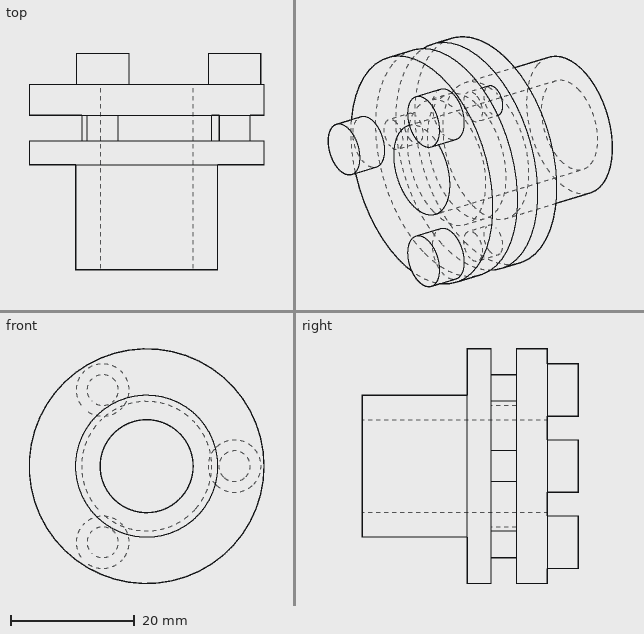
import cadquery as cq

flange_diameter = 38.0
hub_diameter = 23.0
neck_diameter = 21.0
bore_diameter = 15.0

hub_length = 17.0
front_flange_thickness = 3.88
gap_width = 4.1
rear_flange_thickness = 5.0
head_height = 5.0

screw_count = 3
screw_circle_radius = 14.2
shank_diameter = 5.0
head_diameter = 8.5

front_flange_start = hub_length
gap_start = front_flange_start + front_flange_thickness
rear_flange_start = gap_start + gap_width
head_start = rear_flange_start + rear_flange_thickness


def cylinder(diameter, start, length):
    """Cylinder on the Y axis, running from start towards +Y."""
    return (
        cq.Workplane("XZ", origin=(0, start, 0))
        .circle(diameter / 2)
        .extrude(-length)
    )


def screws(diameter, start, length):
    """Ring of cylinders on the screw circle, the first one on +X."""
    return (
        cq.Workplane("XZ", origin=(0, start, 0))
        .polarArray(screw_circle_radius, 0, 360, screw_count)
        .circle(diameter / 2)
        .extrude(-length)
    )


body = (
    cylinder(hub_diameter, 0, hub_length)
    .union(cylinder(flange_diameter, front_flange_start, front_flange_thickness))
    .union(cylinder(neck_diameter, gap_start, gap_width))
    .union(cylinder(flange_diameter, rear_flange_start, rear_flange_thickness))
)

body = body.union(screws(shank_diameter, gap_start, gap_width))
body = body.union(screws(head_diameter, head_start, head_height))

result = body.cut(cylinder(bore_diameter, 0, head_start))